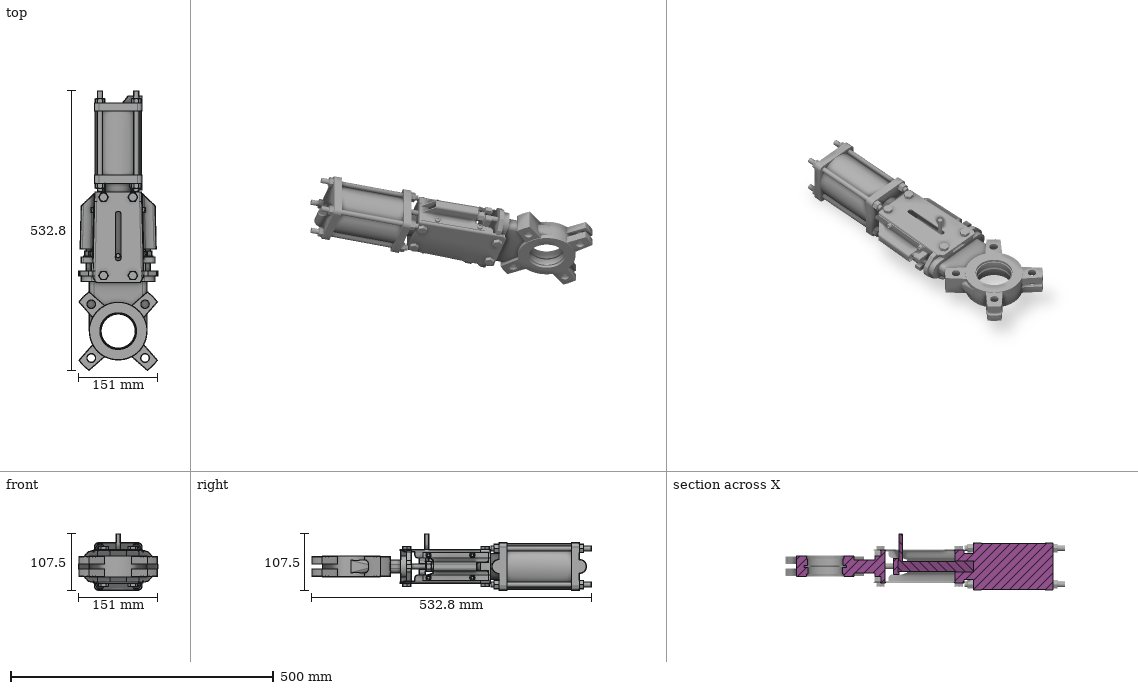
import cadquery as cq
import math


RING_DIAMETER = 110
RING_HALF_HEIGHT = 20
UPPER_BORE_DIAMETER = 67
LOWER_BORE_DIAMETER = 65
MOUTH_DIAMETER = 70
MOUTH_DEPTH = 5
GATE_GROOVE_DIAMETER = 80
GATE_GROOVE_HEIGHT = 3.6

LUG_END_RADIUS = 93.24
LUG_END_WIDTH = 27
LUG_TAPER_ANGLE = 3.8
LUG_HALF_HEIGHT = 18.8
LUG_GAP = 9
LUG_HOLE_DIAMETER = 16
LUG_HOLE_CIRCLE_RADIUS = 72.5
BLIND_HOLE_DEPTH = 15
LUG_ANGLES = (45, 135, 225, 315)

NECK_WIDTH = 110.6
NECK_THICKNESS = 25
NECK_EDGE_RADIUS = 9
NECK_FOOT_EDGE_RADIUS = 1
NECK_FOOT_LENGTH = 32
FLANGE_START = 94.2
FLANGE_END = 105.5
FLANGE_LENGTH = 141
FLANGE_WIDTH = 40
POST_X = 27.4
POST_WIDTH = 24
POST_CORNER_RADIUS = 2
GLAND_FLANGE_END = 114.7
GLAND_FLANGE_LENGTH = 151
GLAND_FLANGE_WIDTH = 60
GLAND_TIP_CHAMFER = 2.5
GLAND_TIP_CORNER_Z = 11
GLAND_TIP_FLAT_Z = 4
GLAND_SHOULDER_X = 57
GLAND_SHOULDER_Z = 28
GLAND_FLAT_HALF_LENGTH = 50

FOLLOWER_START = 129.7
FOLLOWER_END = 141.5
FOLLOWER_WIDTH = 32
FOLLOWER_CORNER_RADIUS = 4
FOLLOWER_SLOT_WIDTH = 11
STUD_DIAMETER = 10
STUD_X = 56.2
STUD_END = 160
STUD_WASHER_DIAMETER = 20
STUD_WASHER_THICKNESS = 1.8
GLAND_NUT_HEIGHT = 9.5

HEX_ACROSS_FLATS = 16
HEX_CHAMFER_DIAMETER = 16
HEX_CHAMFER_ANGLE = 30
REAR_NUT_HEIGHT = 8
FRONT_NUT_HEIGHT = 9.7
BOLT_HEAD_HEIGHT = 6.4
BOLT_X = 28
BOLT_YS = (106, 255.5)

BRACKET_START = 93
BRACKET_END = 265.5
BRACKET_HALF_HEIGHT = 32
BRACKET_THICKNESS = 2
BRACKET_BEND_RADIUS = 4
BRACKET_START_HALF_WIDTH = 48.7
BRACKET_END_HALF_WIDTH = 44.4
SIDE_FLANGE_EDGE = 16
SIDE_FLANGE_START = 121
SIDE_FLANGE_CORNER_RADIUS = 7
WEB_CORNER_CUT = (6.5, 11)
SLOT_WIDTH = 11
SLOT_START = 134.2
SLOT_END = 228.6
HEAD_BLOCK_START = 247

GUARD_FLANGE_START = 137.3
GUARD_NOTCH_END = 146
GUARD_HAT_START = 156
GUARD_END = 262
GUARD_THICKNESS = 1.5
GUARD_HAT_HEIGHT = 25.6
GUARD_HAT_HALF_WIDTH = 9
GUARD_FLANGE_HALF_WIDTH = 27
GUARD_OUTER_BEND = 4.5
GUARD_ROOT_BEND = 3.5
GUARD_SLOPE_END = 238
SCREW_HEAD_DIAMETER = 10
SCREW_HEAD_HEIGHT = 5
SCREW_HEAD_ROUNDING = 1.5
SCREW_SOCKET_FLATS = 5
SCREW_SOCKET_DEPTH = 2.5
SCREW_Z = 21.7
SCREW_YS = (147.3, 231)

END_PLATE_SIZE = 91
END_PLATE_THICKNESS = 15.3
END_PLATE_CORNER_RADIUS = 8.5
FRONT_PLATE_START = 282
REAR_PLATE_START = 420
TUBE_DIAMETER = 88.5
NOSE_DIAMETER = 50
TIE_ROD_DIAMETER = 10
TIE_ROD_OFFSET = 34.5
TIE_ROD_START = 266.5
TIE_ROD_END = 458
NOSE_ROD_DIAMETER = 10
NOSE_ROD_X = 32
PORT_RADIUS = 13.3
PORT_START_X = 8.4
PORT_SLOPE = 11

STEM_DIAMETER = 20
STEM_START = 139.7
PIN_DIAMETER = 8
PIN_Y = 143.9
PIN_TOP = 62

BRACKET_LENGTH = BRACKET_END - BRACKET_START
BRACKET_TAPER = (BRACKET_START_HALF_WIDTH - BRACKET_END_HALF_WIDTH) / BRACKET_LENGTH
BRACKET_TAPER_ANGLE = math.degrees(math.atan(BRACKET_TAPER))
WEB_INNER_Z = BRACKET_HALF_HEIGHT - BRACKET_THICKNESS
REAR_PLATE_END = REAR_PLATE_START + END_PLATE_THICKNESS
FRONT_PLATE_END = FRONT_PLATE_START + END_PLATE_THICKNESS
CORNER_SIGNS = [(sx, sz) for sx in (-1, 1) for sz in (-1, 1)]


def box(x_range, y_range, z_range):
    sizes = [high - low for low, high in (x_range, y_range, z_range)]
    corner = (x_range[0], y_range[0], z_range[0])
    return cq.Workplane("XY").box(*sizes, centered=False).translate(corner)


def y_plane(y):
    """Workplane at height y along the stem; local x is -X, local y is Z, normal is +Y."""
    return cq.Workplane(cq.Plane(origin=(0, y, 0), xDir=(-1, 0, 0), normal=(0, 1, 0)))


def y_rod(diameter, start, end, x=0, z=0):
    return y_plane(start).center(-x, z).circle(diameter / 2).extrude(end - start)


def centered_plane(half_height):
    """Horizontal workplane from which an extrusion of 2 * half_height is centred on Z = 0."""
    return cq.Workplane("XY", origin=(0, 0, -half_height))


def hexagon(height):
    """Hexagon standing on XY, corners along X, with its top corners chamfered off."""
    corner_radius = HEX_ACROSS_FLATS / math.sqrt(3)
    chamfer_radius = HEX_CHAMFER_DIAMETER / 2
    drop = (corner_radius - chamfer_radius) * math.tan(math.radians(HEX_CHAMFER_ANGLE))
    prism = cq.Workplane("XY").polygon(6, 2 * corner_radius).extrude(height)
    envelope = (
        cq.Workplane("XZ")
        .polyline([(0, 0), (corner_radius, 0), (corner_radius, height - drop),
                   (chamfer_radius, height), (0, height)])
        .close()
        .revolve(360, (0, 0, 0), (0, 1, 0))
    )
    return prism.intersect(envelope)


def y_nut(height, start, x, z, toward=1, corners_along_z=False):
    """Hexagon nut on a Y axis whose flat base is at start."""
    nut = hexagon(height)
    if corners_along_z:
        nut = nut.rotate((0, 0, 0), (0, 0, 1), 90)
    nut = nut.rotate((0, 0, 0), (1, 0, 0), -90 * toward)
    return nut.translate((x, start, z))


def mirrored_pair(shape, plane):
    return shape.union(shape.mirror(plane))


def lug(angle):
    """Lug pointing along the given angle: narrower outward, its end curved about the bore axis."""
    end_half_width = LUG_END_WIDTH / 2
    corner_reach = math.sqrt(LUG_END_RADIUS**2 - end_half_width**2)
    slope = math.tan(math.radians(LUG_TAPER_ANGLE))
    root_half_width = end_half_width + corner_reach * slope
    tip_half_width = root_half_width - LUG_END_RADIUS * slope
    bar = (
        centered_plane(LUG_HALF_HEIGHT)
        .polyline([(0, -root_half_width), (LUG_END_RADIUS, -tip_half_width),
                   (LUG_END_RADIUS, tip_half_width), (0, root_half_width)])
        .close()
        .extrude(2 * LUG_HALF_HEIGHT)
    )
    end_cylinder = centered_plane(LUG_HALF_HEIGHT).circle(LUG_END_RADIUS).extrude(2 * LUG_HALF_HEIGHT)
    return bar.intersect(end_cylinder).rotate((0, 0, 0), (0, 0, 1), angle)


def lug_hole(angle):
    """Upper lugs have a blind hole from each face; lower lugs are drilled through."""
    x = LUG_HOLE_CIRCLE_RADIUS * math.cos(math.radians(angle))
    y = LUG_HOLE_CIRCLE_RADIUS * math.sin(math.radians(angle))
    hole = centered_plane(LUG_HALF_HEIGHT).center(x, y).circle(LUG_HOLE_DIAMETER / 2)
    hole = hole.extrude(2 * LUG_HALF_HEIGHT)
    if y > 0:
        core = LUG_HALF_HEIGHT - BLIND_HOLE_DEPTH
        reach = LUG_END_RADIUS
        hole = hole.cut(box((-reach, reach), (0, reach), (-core, core)))
    return hole


def bore():
    """Bore with a wider upper half, a relief at each mouth and a groove for the gate edge."""
    half = RING_HALF_HEIGHT
    upper = cq.Workplane("XY").circle(UPPER_BORE_DIAMETER / 2).extrude(half)
    groove = centered_plane(GATE_GROOVE_HEIGHT / 2)
    groove = groove.circle(GATE_GROOVE_DIAMETER / 2).extrude(GATE_GROOVE_HEIGHT)
    lower = centered_plane(half).circle(LOWER_BORE_DIAMETER / 2).extrude(2 * half)
    mouth = cq.Workplane("XY").workplane(offset=half - MOUTH_DEPTH)
    mouth = mouth.circle(MOUTH_DIAMETER / 2).extrude(MOUTH_DEPTH)
    return upper.union(lower).union(groove).union(mirrored_pair(mouth, "XY"))


def neck_section(edge_radius):
    return cq.Sketch().rect(NECK_WIDTH, NECK_THICKNESS).vertices().fillet(edge_radius)


def valve_body():
    neck = y_plane(NECK_FOOT_LENGTH).placeSketch(neck_section(NECK_EDGE_RADIUS))
    neck = neck.extrude(FLANGE_START - NECK_FOOT_LENGTH)
    foot_end = neck_section(NECK_FOOT_EDGE_RADIUS)
    foot_start = neck_section(NECK_EDGE_RADIUS).moved(cq.Location(cq.Vector(0, 0, NECK_FOOT_LENGTH)))
    foot = y_plane(0).placeSketch(foot_end, foot_start).loft(ruled=True)
    neck = neck.union(foot)
    ring = centered_plane(RING_HALF_HEIGHT).circle(RING_DIAMETER / 2).extrude(2 * RING_HALF_HEIGHT)

    lugs = lug(LUG_ANGLES[0])
    for angle in LUG_ANGLES[1:]:
        lugs = lugs.union(lug(angle))
    lower_gap = box((-LUG_END_RADIUS, LUG_END_RADIUS), (-LUG_END_RADIUS, 0),
                    (-LUG_GAP / 2, LUG_GAP / 2))
    body = neck.union(lugs.cut(lower_gap)).union(ring)
    for angle in LUG_ANGLES:
        body = body.cut(lug_hole(angle))
    return body.cut(bore()).union(body_flange())


def body_flange():
    """Obround flange with posts above and below that carry the bracket webs."""
    thickness = FLANGE_END - FLANGE_START
    flange = y_plane(FLANGE_START).slot2D(FLANGE_LENGTH, FLANGE_WIDTH).extrude(thickness)
    for side in (-1, 1):
        x = side * POST_X
        post = box((x - POST_WIDTH / 2, x + POST_WIDTH / 2), (FLANGE_START, FLANGE_END),
                   (-WEB_INNER_Z, WEB_INNER_Z))
        flange = flange.union(post.edges("|Y").fillet(POST_CORNER_RADIUS))
    return flange


def gland_flange():
    """Oval plate with sloping shoulders and chamfered flat tips."""
    tip = GLAND_FLANGE_LENGTH / 2
    tip_start = tip - GLAND_TIP_CHAMFER
    half = GLAND_FLANGE_WIDTH / 2
    outline = (
        y_plane(FLANGE_END)
        .moveTo(-GLAND_FLAT_HALF_LENGTH, half)
        .lineTo(GLAND_FLAT_HALF_LENGTH, half)
        .lineTo(GLAND_SHOULDER_X, GLAND_SHOULDER_Z)
        .lineTo(tip_start, GLAND_TIP_CORNER_Z)
        .lineTo(tip, GLAND_TIP_FLAT_Z)
        .lineTo(tip, -GLAND_TIP_FLAT_Z)
        .lineTo(tip_start, -GLAND_TIP_CORNER_Z)
        .lineTo(GLAND_SHOULDER_X, -GLAND_SHOULDER_Z)
        .lineTo(GLAND_FLAT_HALF_LENGTH, -half)
        .lineTo(-GLAND_FLAT_HALF_LENGTH, -half)
        .lineTo(-GLAND_SHOULDER_X, -GLAND_SHOULDER_Z)
        .lineTo(-tip_start, -GLAND_TIP_CORNER_Z)
        .lineTo(-tip, -GLAND_TIP_FLAT_Z)
        .lineTo(-tip, GLAND_TIP_FLAT_Z)
        .lineTo(-tip_start, GLAND_TIP_CORNER_Z)
        .lineTo(-GLAND_SHOULDER_X, GLAND_SHOULDER_Z)
        .close()
    )
    return outline.extrude(GLAND_FLANGE_END - FLANGE_END)


def follower_slot(side):
    """Open-ended slot that lets a stud in from the end of the follower."""
    slot_half = FOLLOWER_SLOT_WIDTH / 2
    ends = sorted((side * STUD_X, side * FLANGE_LENGTH / 2))
    slot = box(ends, (FOLLOWER_START, FOLLOWER_END), (-slot_half, slot_half))
    return slot.union(y_rod(FOLLOWER_SLOT_WIDTH, FOLLOWER_START, FOLLOWER_END, side * STUD_X))


def gland():
    follower = box((-FLANGE_LENGTH / 2, FLANGE_LENGTH / 2), (FOLLOWER_START, FOLLOWER_END),
                   (-FOLLOWER_WIDTH / 2, FOLLOWER_WIDTH / 2))
    follower = follower.edges("|Y").fillet(FOLLOWER_CORNER_RADIUS)
    for side in (-1, 1):
        follower = follower.cut(follower_slot(side))
    assembly = gland_flange().union(follower)
    washer_end = FOLLOWER_END + STUD_WASHER_THICKNESS
    for x in (-STUD_X, STUD_X):
        assembly = (
            assembly
            .union(y_rod(STUD_DIAMETER, FLANGE_END, STUD_END, x))
            .union(y_rod(STUD_WASHER_DIAMETER, FOLLOWER_END, washer_end, x))
            .union(y_nut(GLAND_NUT_HEIGHT, washer_end, x, 0, corners_along_z=True))
        )
    return assembly


def tapered_block(inset):
    """Tapered prism of the bracket, shrunk by inset, with rounded long edges."""
    start_half = BRACKET_START_HALF_WIDTH - inset
    end_half = BRACKET_END_HALF_WIDTH - inset
    plan = [(-start_half, BRACKET_START), (start_half, BRACKET_START),
            (end_half, BRACKET_END), (-end_half, BRACKET_END)]
    half_height = BRACKET_HALF_HEIGHT - inset
    block = centered_plane(half_height).polyline(plan).close().extrude(2 * half_height)
    long_edges = block.faces("<X or >X").edges("<Z or >Z")
    return long_edges.fillet(BRACKET_BEND_RADIUS - inset)


def web_corner(side):
    """Triangle cut from a front corner of the webs."""
    across, along = WEB_CORNER_CUT
    x = side * BRACKET_START_HALF_WIDTH
    triangle = [(x, BRACKET_START), (x - side * across, BRACKET_START), (x, BRACKET_START + along)]
    return centered_plane(BRACKET_HALF_HEIGHT).polyline(triangle).close().extrude(2 * BRACKET_HALF_HEIGHT)


def side_opening():
    """Material removed from the side flanges: the middle gap and the front clearance."""
    reach = BRACKET_START_HALF_WIDTH
    inner = BRACKET_HALF_HEIGHT - BRACKET_BEND_RADIUS
    gap = box((-reach, reach), (BRACKET_START, BRACKET_END), (-SIDE_FLANGE_EDGE, SIDE_FLANGE_EDGE))
    front = box((-reach, reach), (BRACKET_START, SIDE_FLANGE_START), (-inner, inner))
    opening = gap.union(front)
    radius = SIDE_FLANGE_CORNER_RADIUS
    for sign in (-1, 1):
        edge = sign * SIDE_FLANGE_EDGE
        square = box((-reach, reach), (SIDE_FLANGE_START, SIDE_FLANGE_START + radius),
                     (min(edge, edge + sign * radius), max(edge, edge + sign * radius)))
        corner_round = (
            cq.Workplane("YZ", origin=(-reach, SIDE_FLANGE_START + radius, edge + sign * radius))
            .circle(radius)
            .extrude(2 * reach)
        )
        opening = opening.union(square.cut(corner_round))
    return opening


def bracket():
    cavity = tapered_block(BRACKET_THICKNESS)
    channels = tapered_block(0).cut(cavity).cut(side_opening())
    for side in (-1, 1):
        channels = channels.cut(web_corner(side))

    slot_length = SLOT_END - SLOT_START
    slot = (
        cq.Workplane("XY", origin=(0, (SLOT_START + SLOT_END) / 2, WEB_INNER_Z))
        .slot2D(slot_length, SLOT_WIDTH, 90)
        .extrude(BRACKET_THICKNESS)
    )
    reach = BRACKET_START_HALF_WIDTH
    head_zone = box((-reach, reach), (HEAD_BLOCK_START, BRACKET_END),
                    (-BRACKET_HALF_HEIGHT, BRACKET_HALF_HEIGHT))
    assembly = channels.cut(slot).union(cavity.intersect(head_zone))

    head = hexagon(BOLT_HEAD_HEIGHT).translate((0, 0, BRACKET_HALF_HEIGHT))
    for x in (-BOLT_X, BOLT_X):
        for y in BOLT_YS:
            assembly = assembly.union(mirrored_pair(head.translate((x, y, 0)), "XY"))
    return assembly


def hat_prism(start, length, inset):
    """Solid under the hat of the guard, shrunk by inset, rising along +X from X = 0."""
    half = GUARD_HAT_HALF_WIDTH - inset
    block = box((0, GUARD_HAT_HEIGHT - inset), (start, start + length), (-half, half))
    return block.faces(">X").edges("|Y").fillet(GUARD_OUTER_BEND - inset)


def guard_screw(y, z):
    head = (
        cq.Workplane("YZ", origin=(GUARD_THICKNESS, y, z))
        .circle(SCREW_HEAD_DIAMETER / 2)
        .extrude(SCREW_HEAD_HEIGHT)
        .faces(">X")
        .edges()
        .fillet(SCREW_HEAD_ROUNDING)
    )
    socket_floor = GUARD_THICKNESS + SCREW_HEAD_HEIGHT - SCREW_SOCKET_DEPTH
    socket = (
        cq.Workplane("YZ", origin=(socket_floor, y, z))
        .polygon(6, SCREW_SOCKET_FLATS * 2 / math.sqrt(3))
        .extrude(SCREW_SOCKET_DEPTH)
    )
    return head.cut(socket)


def guard():
    """Hat-section guard on the +X side flanges, following the taper of the bracket."""
    hat_length = GUARD_END - GUARD_HAT_START
    flange = box((0, GUARD_THICKNESS), (GUARD_FLANGE_START, GUARD_END),
                 (-GUARD_FLANGE_HALF_WIDTH, GUARD_FLANGE_HALF_WIDTH))
    root = GUARD_HAT_HALF_WIDTH + GUARD_ROOT_BEND
    front_gap = (
        cq.Workplane("YZ")
        .polyline([(GUARD_FLANGE_START, -SIDE_FLANGE_EDGE), (GUARD_NOTCH_END, -SIDE_FLANGE_EDGE),
                   (GUARD_HAT_START, -root), (GUARD_HAT_START, root),
                   (GUARD_NOTCH_END, SIDE_FLANGE_EDGE), (GUARD_FLANGE_START, SIDE_FLANGE_EDGE)])
        .close()
        .extrude(GUARD_THICKNESS)
    )
    hat = flange.cut(front_gap).union(hat_prism(GUARD_HAT_START, hat_length, 0))
    root_edges = cq.selectors.BoxSelector(
        (GUARD_THICKNESS / 2, GUARD_HAT_START, -root),
        (GUARD_THICKNESS * 1.5, GUARD_END, root))
    hat = hat.edges("|Y").edges(root_edges).fillet(GUARD_ROOT_BEND)
    hat = hat.cut(hat_prism(GUARD_HAT_START, hat_length, GUARD_THICKNESS))

    cut_half_height = GUARD_HAT_HALF_WIDTH + GUARD_ROOT_BEND
    slope_cut = (
        centered_plane(cut_half_height)
        .polyline([(GUARD_THICKNESS, GUARD_END), (GUARD_HAT_HEIGHT, GUARD_SLOPE_END),
                   (GUARD_HAT_HEIGHT, GUARD_END)])
        .close()
        .extrude(2 * cut_half_height)
    )
    hat = hat.cut(slope_cut)
    for y in SCREW_YS:
        for z in (-SCREW_Z, SCREW_Z):
            hat = hat.union(guard_screw(y, z))

    placed = hat.translate((BRACKET_END_HALF_WIDTH, -BRACKET_END, 0))
    pivot = (BRACKET_END_HALF_WIDTH, 0, 0)
    placed = placed.rotate(pivot, (pivot[0], 0, 1), BRACKET_TAPER_ANGLE)
    return placed.translate((0, BRACKET_END, 0))


def end_plate(start):
    half = END_PLATE_SIZE / 2
    plate = box((-half, half), (start, start + END_PLATE_THICKNESS), (-half, half))
    return plate.edges("|Y").fillet(END_PLATE_CORNER_RADIUS)


def port_boss(plate_face, toward):
    """Half-round air port boss with a sloping inner end, on the outer face of an end plate."""
    length = END_PLATE_SIZE / 2 - PORT_START_X
    boss = cq.Workplane("YZ", origin=(PORT_START_X, plate_face, 0)).circle(PORT_RADIUS).extrude(length)
    tip = plate_face + toward * PORT_RADIUS
    slope = (
        centered_plane(PORT_RADIUS)
        .polyline([(PORT_START_X, plate_face), (PORT_START_X, tip), (PORT_START_X + PORT_SLOPE, tip)])
        .close()
        .extrude(2 * PORT_RADIUS)
    )
    y_range = (min(plate_face, tip), max(plate_face, tip))
    outer_half = box((0, END_PLATE_SIZE / 2), y_range, (-PORT_RADIUS, PORT_RADIUS))
    return boss.intersect(outer_half).cut(slope)


def tie_rod(x, z):
    return (
        y_rod(TIE_ROD_DIAMETER, TIE_ROD_START, TIE_ROD_END, x, z)
        .union(y_nut(REAR_NUT_HEIGHT, REAR_PLATE_END, x, z))
        .union(y_nut(FRONT_NUT_HEIGHT, FRONT_PLATE_START, x, z, toward=-1))
    )


def cylinder():
    assembly = (
        y_rod(TUBE_DIAMETER, FRONT_PLATE_END, REAR_PLATE_START)
        .union(end_plate(FRONT_PLATE_START))
        .union(end_plate(REAR_PLATE_START))
        .union(y_rod(NOSE_DIAMETER, BRACKET_END, FRONT_PLATE_START))
        .union(port_boss(REAR_PLATE_END, 1))
        .union(port_boss(FRONT_PLATE_START, -1))
    )
    for x in (-NOSE_ROD_X, NOSE_ROD_X):
        assembly = assembly.union(y_rod(NOSE_ROD_DIAMETER, BRACKET_END, FRONT_PLATE_START, x))
    for sx, sz in CORNER_SIGNS:
        assembly = assembly.union(tie_rod(sx * TIE_ROD_OFFSET, sz * TIE_ROD_OFFSET))
    return assembly


def make_stem():
    """Piston rod from the cylinder front plate to the gland follower, with its indicator pin."""
    rod = y_rod(STEM_DIAMETER, STEM_START, FRONT_PLATE_START)
    pin = cq.Workplane("XY", origin=(0, PIN_Y, 0)).circle(PIN_DIAMETER / 2).extrude(PIN_TOP)
    return rod.union(pin)


def make_valve(stem):
    """Valve, gland, bracket, guards and cylinder, with a matching hole for the stem."""
    right_guard = guard()
    valve = valve_body().union(gland()).union(bracket()).union(cylinder())
    valve = valve.union(mirrored_pair(right_guard, "YZ"))
    return valve.cut(stem)


stem = make_stem()
valve = make_valve(stem)
result = cq.Compound.makeCompound([*valve.solids().vals(), *stem.solids().vals()])